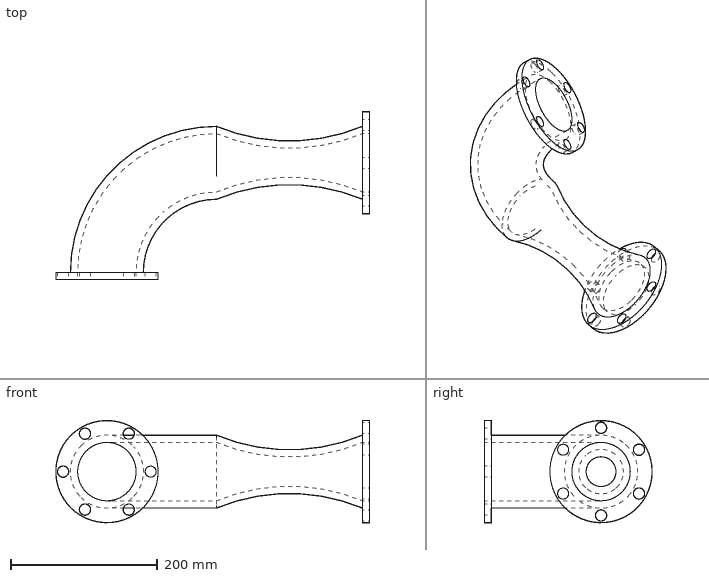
import cadquery as cq

pipe_diameter = 100.0
bore_diameter = 80.0
bend_radius = 150.0

waist_length = 200.0
throat_diameter = 60.0
wall = (pipe_diameter - bore_diameter) / 2
throat_bore_diameter = throat_diameter - 2 * wall

flange_diameter = 140.0
flange_thickness = 10.0
bolt_circle_diameter = 120.0
bolt_hole_diameter = 15.0
bolt_count = 6

waist_end_x = bend_radius + waist_length


def elbow(diameter):
    """Solid quarter bend, from the origin heading +Y and turning to +X."""
    return (
        cq.Workplane("XZ")
        .circle(diameter / 2)
        .revolve(90, (bend_radius, 0, 0), (bend_radius, -1, 0))
    )


def waist(end_diameter, middle_diameter):
    """Solid of revolution along X whose outline is an arc narrowing at mid-length."""
    axis_y = bend_radius
    middle = (bend_radius + waist_length / 2, axis_y + middle_diameter / 2)
    end = (waist_end_x, axis_y + end_diameter / 2)
    return (
        cq.Workplane("XY")
        .moveTo(bend_radius, axis_y)
        .lineTo(bend_radius, axis_y + end_diameter / 2)
        .threePointArc(middle, end)
        .lineTo(waist_end_x, axis_y)
        .close()
        .revolve(360, (bend_radius, axis_y, 0), (waist_end_x, axis_y, 0))
    )


def flange(workplane, first_hole_angle):
    """Flat ring with a bolt circle, extruded along the workplane normal."""
    ring = workplane.circle(flange_diameter / 2).circle(bore_diameter / 2).extrude(flange_thickness)
    bolt_holes = (
        workplane.polarArray(bolt_circle_diameter / 2, first_hole_angle, 360, bolt_count)
        .circle(bolt_hole_diameter / 2)
        .extrude(flange_thickness)
    )
    return ring.cut(bolt_holes)


inlet_plane = cq.Workplane("XZ")
outlet_plane = cq.Workplane("YZ", origin=(waist_end_x, bend_radius, 0))

outer = elbow(pipe_diameter).union(waist(pipe_diameter, throat_diameter))
bore = elbow(bore_diameter).union(waist(bore_diameter, throat_bore_diameter))

result = (
    outer.cut(bore)
    .union(flange(inlet_plane, 0))
    .union(flange(outlet_plane, 90))
)